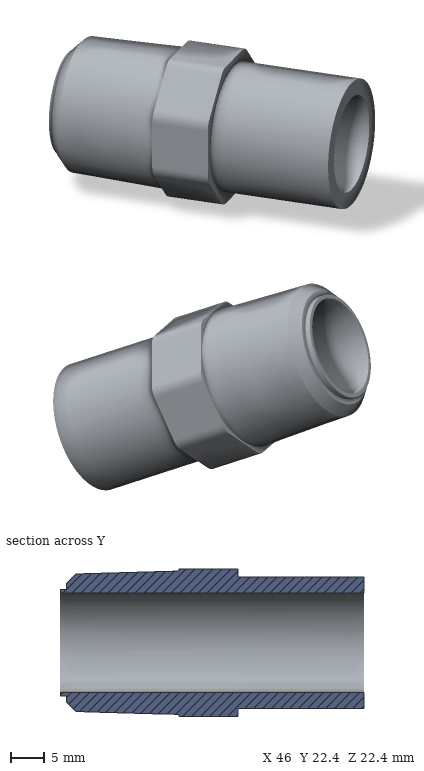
import cadquery as cq
import math

total_length = 46.0
lip_length = 0.87
chamfer_end = 2.4
collar_start = 17.95
collar_end = 26.95

bore_diameter = 15.0
lip_diameter = 16.25
chamfer_small_diameter = 17.95
taper_small_diameter = 20.95
taper_large_diameter = 21.8
tube_diameter = 20.0

collar_sides = 8
across_flats = 22.4
collar_corner_radius = 2.3


def revolved_body():
    """Lip, lead-in chamfer, tapered end and straight tube, as one turned solid."""
    return (
        cq.Workplane("XZ")
        .moveTo(0, 0)
        .lineTo(0, lip_diameter / 2)
        .lineTo(lip_length, lip_diameter / 2)
        .lineTo(lip_length, chamfer_small_diameter / 2)
        .lineTo(chamfer_end, taper_small_diameter / 2)
        .lineTo(collar_start, taper_large_diameter / 2)
        .lineTo(collar_start, tube_diameter / 2)
        .lineTo(total_length, tube_diameter / 2)
        .lineTo(total_length, 0)
        .close()
        .revolve(360, (0, 0, 0), (1, 0, 0))
    )


def wrench_collar():
    """Octagon with rounded corners and flats facing the Y and Z axes."""
    half_side_angle = 180 / collar_sides
    across_corners = across_flats / math.cos(math.radians(half_side_angle))
    return (
        cq.Workplane("YZ", origin=(collar_start, 0, 0))
        .transformed(rotate=(0, 0, half_side_angle))
        .polygon(collar_sides, across_corners)
        .extrude(collar_end - collar_start)
        .edges("|X")
        .fillet(collar_corner_radius)
    )


bore = cq.Workplane("YZ").circle(bore_diameter / 2).extrude(total_length)

result = revolved_body().union(wrench_collar()).cut(bore)